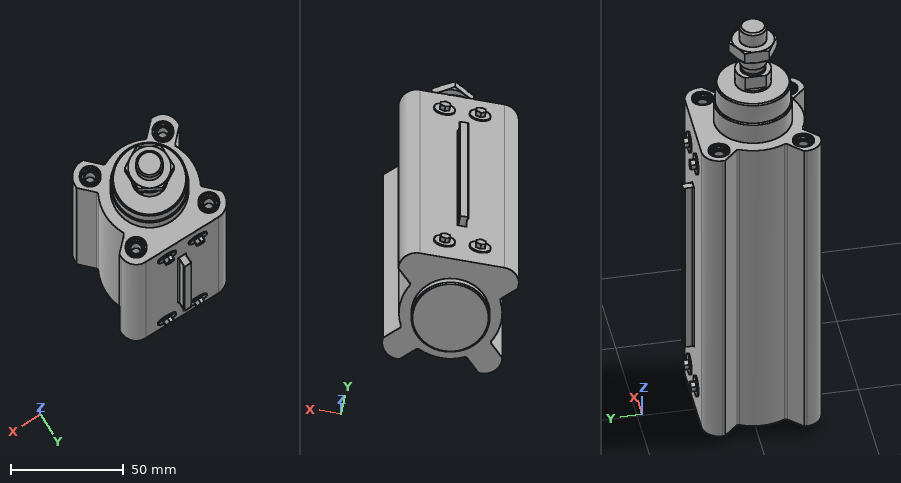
import cadquery as cq
import math

total_height = 212.0
barrel_bottom = 4.2
barrel_top = 159.3
collar_top = 170.2
cap_top = 180.5
barrel_height = barrel_top - barrel_bottom
barrel_middle = (barrel_bottom + barrel_top) / 2

half_width = 27.02
tube_radius = 22.9
bolt_offset = 19.0
flank_start = 17.8
root_fillet = 1.0
flank_shift = half_width - flank_start

recess_diameter = 9.5
recess_depth = 0.5
seat_diameter = 9.0
seat_depth = 0.8
countersink_diameter = 7.5
countersink_depth = 1.3
mouth_diameter = 6.0
mouth_depth = 1.7
throat_diameter = 5.3
throat_depth = 2.5
drill_diameter = 4.9
drill_depth = 12.7
drill_point_angle = 118.0

collar_diameter = 35.0
cap_bottom_diameter = 34.0
cap_top_diameter = 33.5
collar_chamfer = 0.6

rail_length = 89.5
rail_bottom = 36.9
rail_top_y = 31.9
rail_flange_half_width = 2.1
rail_web_half_width = 1.7
rail_flange_thickness = 0.8

plug_x = 8.0
plug_z_offset = 62.5
plug_disc_diameter = 9.5
plug_disc_thickness = 0.6
plug_across_flats = 4.2
plug_hex_height = 2.3

rod_diameter = 16.0
rod_across_flats = 13.0
rod_flat_bottom = 181.5
rod_shoulder = 188.2
rod_root_diameter = 11.5
rod_root_height = 0.6
rod_neck_diameter = 10.5
rod_neck_top = 189.5
rod_thread_diameter = 12.0
rod_thread_bottom = 191.8
rod_tip_chamfer = 0.8

nut_across_flats = 19.0
nut_bottom = 198.3
nut_height = 6.1
nut_chamfer_angle = 20.0


def hex_corner_diameter(across_flats):
    return across_flats / math.cos(math.radians(30))


def disc(diameter, bottom, top):
    return cq.Workplane("XY").workplane(offset=bottom).circle(diameter / 2).extrude(top - bottom)


def revolved(profile):
    """Solid of revolution about Z from (radius, height) points."""
    return cq.Workplane("XZ").polyline(profile).close().revolve(360, (0, 0, 0), (0, 1, 0))


def corner_lobe():
    """Lobe in the +X +Y corner, with flanks parallel to its diagonal and a rounded tip."""
    tip = bolt_offset + (half_width - bolt_offset) / math.sqrt(2)
    return (
        cq.Workplane("XY")
        .workplane(offset=barrel_bottom)
        .moveTo(flank_shift, 0)
        .lineTo(half_width, flank_start)
        .lineTo(half_width, bolt_offset)
        .threePointArc((tip, tip), (bolt_offset, half_width))
        .lineTo(flank_start, half_width)
        .lineTo(0, flank_shift)
        .close()
        .extrude(barrel_height)
    )


def is_lobe_root(edge):
    """True for the upright edges where a lobe flank meets the tube."""
    center = edge.Center()
    on_tube = abs(math.hypot(center.x, center.y) - tube_radius) < 0.02
    beside_lobe = min(abs(center.x), abs(center.y)) > flank_shift
    return on_tube and beside_lobe


def make_barrel():
    barrel = disc(2 * tube_radius, barrel_bottom, barrel_top)
    for quarter in range(4):
        barrel = barrel.union(corner_lobe().rotate((0, 0, 0), (0, 0, 1), 90 * quarter))
    flat_side = cq.Workplane("XY").box(
        2 * bolt_offset, half_width - bolt_offset, barrel_height, centered=(True, False, False)
    )
    barrel = barrel.union(flat_side.translate((0, bolt_offset, barrel_bottom)))
    return barrel.edges("|Z").filter(is_lobe_root).fillet(root_fillet)


def bolt_hole():
    """Cutting body of one stepped hole, with its mouth at Z = 0."""
    point_height = drill_diameter / 2 / math.tan(math.radians(drill_point_angle / 2))
    return revolved([
        (0, 0),
        (recess_diameter / 2, 0),
        (recess_diameter / 2, -recess_depth),
        (seat_diameter / 2, -recess_depth),
        (seat_diameter / 2, -seat_depth),
        (countersink_diameter / 2, -seat_depth),
        (mouth_diameter / 2, -countersink_depth),
        (mouth_diameter / 2, -mouth_depth),
        (throat_diameter / 2, -mouth_depth),
        (throat_diameter / 2, -throat_depth),
        (drill_diameter / 2, -throat_depth),
        (drill_diameter / 2, -drill_depth),
        (0, -drill_depth - point_height),
    ])


def bearing_cap():
    bottom_radius = cap_bottom_diameter / 2
    top_radius = cap_top_diameter / 2
    return revolved([
        (0, collar_top),
        (bottom_radius, collar_top),
        (top_radius, cap_top - collar_chamfer),
        (top_radius - collar_chamfer, cap_top),
        (0, cap_top),
    ])


def rail():
    """I-shaped rail whose outer flange has bevelled edges."""
    flange_base = rail_top_y - rail_flange_thickness
    right_side = [
        (rail_flange_half_width, half_width),
        (rail_web_half_width, half_width + rail_flange_thickness),
        (rail_web_half_width, flange_base),
        (rail_flange_half_width, rail_top_y - rail_flange_thickness / 2),
        (rail_web_half_width, rail_top_y),
    ]
    left_side = [(-x, y) for x, y in reversed(right_side)]
    section = cq.Workplane("XY").workplane(offset=rail_bottom).polyline(right_side + left_side).close()
    return section.extrude(rail_length)


def plug():
    """Disc with a hexagonal head, standing on Y = 0 toward +Y with two corners along Z."""
    base = cq.Workplane("XZ").circle(plug_disc_diameter / 2).extrude(-plug_disc_thickness)
    head = (
        cq.Workplane("XZ")
        .polygon(6, hex_corner_diameter(plug_across_flats))
        .extrude(-(plug_disc_thickness + plug_hex_height))
        .rotate((0, 0, 0), (0, 1, 0), 30)
    )
    return base.union(head)


def make_housing():
    housing = make_barrel()
    housing = housing.union(disc(collar_diameter, 0, barrel_bottom).faces("<Z").chamfer(collar_chamfer))
    housing = housing.union(disc(collar_diameter, barrel_top, collar_top).faces(">Z").chamfer(collar_chamfer))
    housing = housing.union(bearing_cap())
    housing = housing.union(rail())
    for side_x in (-1, 1):
        for side_y in (-1, 1):
            place = (side_x * bolt_offset, side_y * bolt_offset, barrel_top)
            housing = housing.cut(bolt_hole().translate(place))
        for side_z in (-1, 1):
            place = (side_x * plug_x, half_width, barrel_middle + side_z * plug_z_offset)
            housing = housing.union(plug().translate(place))
    return housing.cut(disc(rod_diameter, barrel_top, cap_top))


def make_rod():
    rod_radius = rod_diameter / 2
    neck_radius = rod_neck_diameter / 2
    thread_radius = rod_thread_diameter / 2
    rod = revolved([
        (0, barrel_top),
        (rod_radius, barrel_top),
        (rod_radius, rod_shoulder),
        (rod_root_diameter / 2, rod_shoulder),
        (neck_radius, rod_shoulder + rod_root_height),
        (neck_radius, rod_neck_top),
        (thread_radius, rod_thread_bottom),
        (thread_radius, total_height - rod_tip_chamfer),
        (thread_radius - rod_tip_chamfer, total_height),
        (0, total_height),
    ])
    wrench_flats = (
        cq.Workplane("XY")
        .workplane(offset=rod_flat_bottom)
        .rect(2 * rod_diameter, 2 * rod_diameter)
        .rect(rod_across_flats, 1.5 * rod_diameter)
        .extrude(rod_shoulder - rod_flat_bottom)
    )
    return rod.cut(wrench_flats)


def make_nut():
    """Hexagon nut with two corners along Y, chamfered on both faces."""
    corner_radius = hex_corner_diameter(nut_across_flats) / 2
    flat_radius = nut_across_flats / 2
    drop = (corner_radius - flat_radius) * math.tan(math.radians(nut_chamfer_angle))
    hexagon = (
        cq.Workplane("XY")
        .polygon(6, 2 * corner_radius)
        .extrude(nut_height)
        .rotate((0, 0, 0), (0, 0, 1), 30)
    )
    chamfered_blank = revolved([
        (0, 0),
        (flat_radius, 0),
        (corner_radius, drop),
        (corner_radius, nut_height - drop),
        (flat_radius, nut_height),
        (0, nut_height),
    ])
    nut = hexagon.intersect(chamfered_blank).cut(disc(rod_thread_diameter, 0, nut_height))
    return nut.translate((0, 0, nut_bottom))


housing = make_housing()
rod = make_rod()
nut = make_nut()

result = cq.Compound.makeCompound([housing.solids().val(), rod.solids().val(), nut.solids().val()])